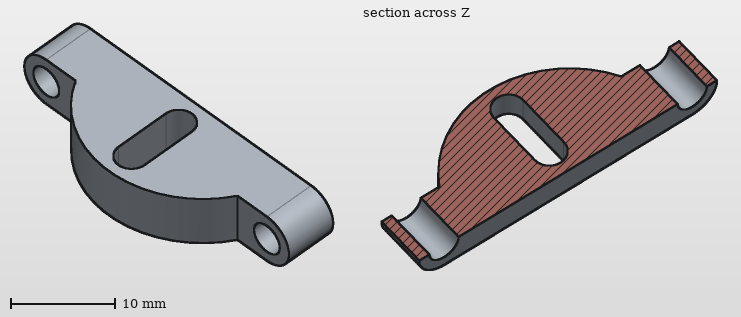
import cadquery as cq

thickness = 6.0
bar_depth = 6.0
hole_spacing = 30.0
hole_diameter = 3.5
lobe_half_width = 11.0
lobe_height = 6.39
slot_width = 3.5
slot_wall = 1.25

bar_front_y = -bar_depth
lobe_tip_y = bar_front_y - lobe_height
slot_length = -lobe_tip_y - 2 * slot_wall
slot_center_y = lobe_tip_y / 2


def make_bar():
    """Bar with fully rounded ends, extruded from its back face towards -Y."""
    return (
        cq.Workplane("XZ")
        .slot2D(hole_spacing + thickness, thickness)
        .extrude(bar_depth)
    )


def make_lobe():
    """Circular segment standing out from the front face of the bar."""
    return (
        cq.Workplane("XY")
        .workplane(offset=-thickness / 2)
        .moveTo(-lobe_half_width, 0)
        .lineTo(-lobe_half_width, bar_front_y)
        .threePointArc((0, lobe_tip_y), (lobe_half_width, bar_front_y))
        .lineTo(lobe_half_width, 0)
        .close()
        .extrude(thickness)
    )


def make_mounting_holes():
    """Two through holes along Y, concentric with the rounded bar ends."""
    return (
        cq.Workplane("XZ")
        .pushPoints([(-hole_spacing / 2, 0), (hole_spacing / 2, 0)])
        .circle(hole_diameter / 2)
        .extrude(bar_depth)
    )


def make_slot():
    """Rounded slot through the full thickness, running along Y."""
    return (
        cq.Workplane("XY")
        .workplane(offset=-thickness / 2)
        .center(0, slot_center_y)
        .slot2D(slot_length, slot_width, 90)
        .extrude(thickness)
    )


body = make_bar().union(make_lobe())
result = body.cut(make_mounting_holes()).cut(make_slot())